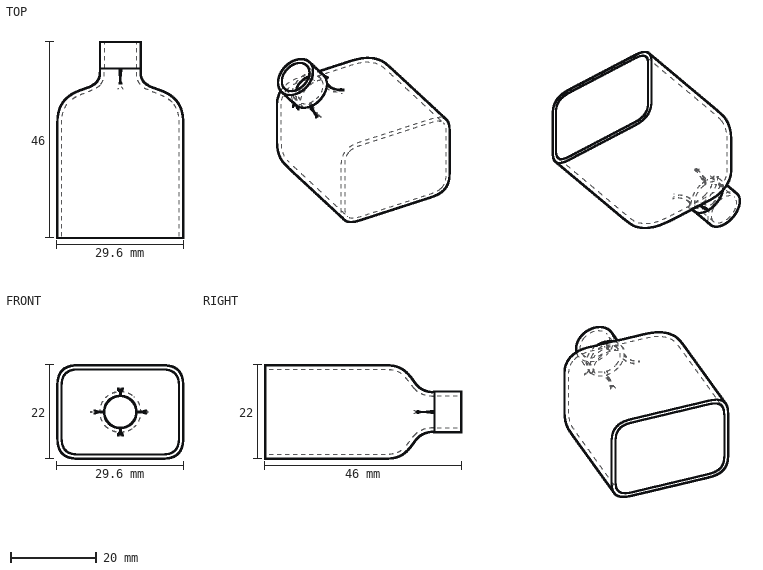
import cadquery as cq
import math

LENGTH = 46.0
WIDTH = 29.6
HEIGHT = 22.0
CORNER = 5.05
CORNER_FULLNESS = 0.7
CIRCLE_FULLNESS = 4 / 3 * (math.sqrt(2) - 1)
WALL = 1.0

BODY_END = 25.45
NECK_START = 39.7

NECK_DIAMETER = 9.6
BORE_DIAMETER = 7.5
NECK_WALL = (NECK_DIAMETER - BORE_DIAMETER) / 2
MIN_FLAT = 0.025

SHOULDER = [
    (26.9, WIDTH / 2, HEIGHT / 2, CORNER, CORNER_FULLNESS, 0),
    (29.15, 14.6, 10.95, 5.15, 0.69, 5),
    (31.52, 13.65, 10.4, 5.5, 0.65, 28),
    (33.4, 11.87, 9.0, 6.0, 0.62, 47),
    (34.9, 8.85, 7.2, 6.0, 0.58, 56),
    (36.13, 6.0, 5.75, 5.65, 0.56, 46),
    (37.75, 4.92, 4.92, 4.92, CIRCLE_FULLNESS, 14),
]


def section(y, half_width, half_height, reach, fullness):
    """Closed rounded rectangle in the plane at y, with curved corner blends."""
    reach = min(reach, half_width - MIN_FLAT, half_height - MIN_FLAT)
    flat_x = half_width - reach
    flat_z = half_height - reach
    handle_x = flat_x + reach * fullness
    handle_z = flat_z + reach * fullness
    edges = []
    for sx, sz in ((1, 1), (-1, 1), (-1, -1), (1, -1)):
        side_end = cq.Vector(sx * half_width, y, sz * flat_z)
        top_end = cq.Vector(sx * flat_x, y, sz * half_height)
        corner = [
            side_end,
            cq.Vector(sx * half_width, y, sz * handle_z),
            cq.Vector(sx * handle_x, y, sz * half_height),
            top_end,
        ]
        if sx * sz > 0:
            edges.append(cq.Edge.makeBezier(corner))
            edges.append(cq.Edge.makeLine(top_end, cq.Vector(-sx * flat_x, y, sz * half_height)))
        else:
            edges.append(cq.Edge.makeBezier(corner[::-1]))
            edges.append(cq.Edge.makeLine(side_end, cq.Vector(sx * half_width, y, -sz * flat_z)))
    return cq.Wire.assembleEdges(edges)


def bottle(wall, neck_wall):
    """Solid body, shoulder and neck, inset by the given wall thicknesses."""
    body_end = (WIDTH / 2 - wall, HEIGHT / 2 - wall, CORNER - wall, CORNER_FULLNESS)
    body = cq.Solid.makeLoft([section(0, *body_end), section(BODY_END, *body_end)], True)

    sections = [section(BODY_END, *body_end)]
    for y, half_width, half_height, reach, fullness, tilt in SHOULDER:
        inset = wall * math.cos(math.radians(tilt))
        setback = wall * math.sin(math.radians(tilt))
        sections.append(
            section(y - setback, half_width - inset, half_height - inset, reach - inset, fullness)
        )
    neck_radius = NECK_DIAMETER / 2 - neck_wall
    sections.append(section(NECK_START, neck_radius, neck_radius, neck_radius, CIRCLE_FULLNESS))
    shoulder = cq.Solid.makeLoft(sections)

    neck = cq.Solid.makeCylinder(
        neck_radius, LENGTH - NECK_START, cq.Vector(0, NECK_START, 0), cq.Vector(0, 1, 0)
    )
    return cq.Workplane(body).union(cq.Workplane(shoulder)).union(cq.Workplane(neck))


outside = bottle(0, 0)
cavity = bottle(WALL, NECK_WALL)
result = outside.cut(cavity)